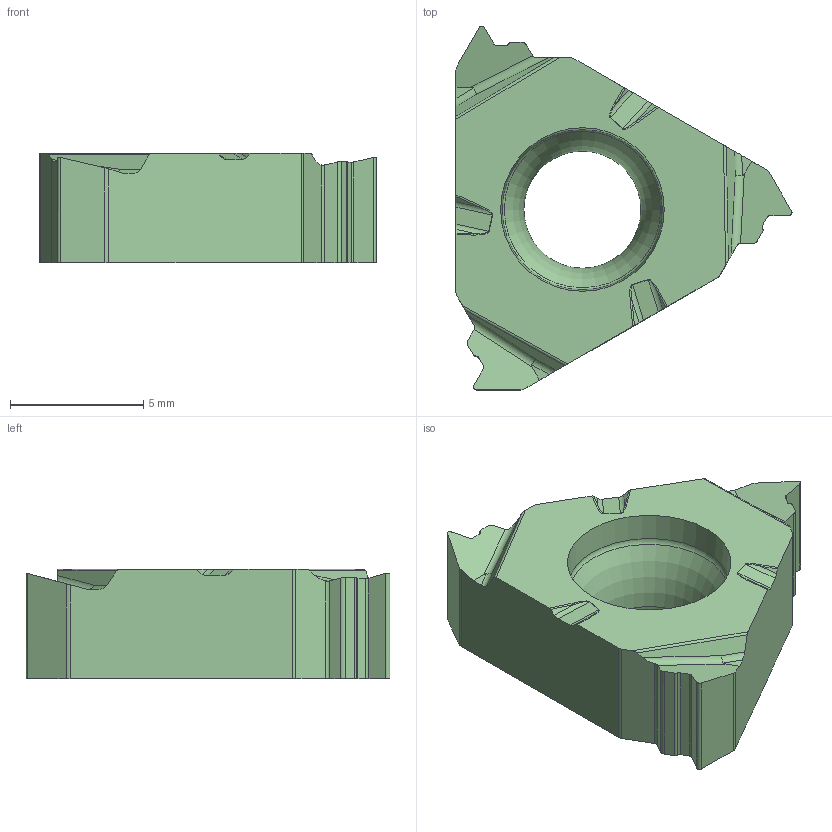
import cadquery as cq
import math

corner_count = 3
corner_angle = 360 / corner_count

thickness = 4.11
inscribed_radius = 4.752

flank_angle = 60
tip_radius = 0.11
tip_center_x = -3.78
tip_center_y = 6.787
root_y = 6.16
crest_y = 6.283
shoulder_y = 5.706
step_x = -2.8
crest_end_x = -2.16
flank_root_round = 0.12
step_root_round = 0.14
step_top_round = 0.09
crest_round = 0.18
shoulder_round = 0.15
side_round = 0.3
body_corner_round = 0.26

rake_angle = 15
tip_drop = 0.14
rake_floor_depth = 0.755
wall_direction = 31
wall_angle = 60
wall_start_y = 3.46
rake_fillet = 0.31
wall_edge_round = 0.12

notch_end_x = -3.45
notch_end_y = -0.52
notch_direction = 12.5
notch_slope = 10
notch_width = 0.84
notch_wall_angle = 40
notch_fillet = 0.3
notch_edge_round = 0.1

notch_length = 2.5
notch_height = 0.6
clearance = 1.0

select_margin = 0.01

hole_radius = 4.4 / 2
seat_radius = 6.15 / 2
seat_foot_radius = 3.02
seat_depth = 1.03
flare_radius = 2.94
flare_depth = 1.24
flare_end_depth = 3.58


def tan(angle):
    return math.tan(math.radians(angle))


def sin(angle):
    return math.sin(math.radians(angle))


def cos(angle):
    return math.cos(math.radians(angle))


def turn(point, angle):
    """Turn a plan point about the insert axis."""
    x, y = point
    return (x * cos(angle) - y * sin(angle), x * sin(angle) + y * cos(angle))


def box_near(point):
    """Selector of the edges centred at a point."""
    low = [value - select_margin for value in point]
    high = [value + select_margin for value in point]
    return cq.selectors.BoxSelector(low, high)


def corner_outline():
    """Sharp plan corners of one tooth, clockwise, each with its rounding radius."""
    apex_y = tip_center_y + tip_radius / cos(flank_angle)
    side_angle = 90 - corner_angle / 2
    side_x = -inscribed_radius
    side_y = apex_y - (tip_center_x - side_x) * tan(flank_angle)
    root_x = tip_center_x + (apex_y - root_y) / tan(flank_angle)
    step_top_x = step_x + (crest_y - root_y) / tan(flank_angle)
    shoulder_x = crest_end_x + (crest_y - shoulder_y) / tan(flank_angle)
    body_corner_x = (inscribed_radius - shoulder_y * cos(side_angle)) / sin(side_angle)
    return [
        ((side_x, side_y), side_round),
        ((tip_center_x, apex_y), tip_radius),
        ((root_x, root_y), flank_root_round),
        ((step_x, root_y), step_root_round),
        ((step_top_x, crest_y), step_top_round),
        ((crest_end_x, crest_y), crest_round),
        ((shoulder_x, shoulder_y), shoulder_round),
        ((body_corner_x, shoulder_y), body_corner_round),
    ]


def around_corners(solid):
    """Copies of a solid, one for each corner."""
    return [solid.rotate((0, 0, 0), (0, 0, 1), i * corner_angle) for i in range(corner_count)]


def make_body():
    corners = []
    for i in range(corner_count):
        for point, radius in corner_outline():
            corners.append((turn(point, -i * corner_angle), radius))
    points = [point for point, radius in corners]
    body = cq.Workplane("XY").workplane(offset=-thickness).polyline(points).close().extrude(thickness)
    for (x, y), radius in corners:
        body = body.edges("|Z").edges(box_near((x, y, -thickness / 2))).fillet(radius)
    return body


def ends_at(edge, point):
    """True if the edge starts or ends at the point."""
    gaps = [(point - edge.startPoint()).Length, (point - edge.endPoint()).Length]
    return min(gaps) < select_margin


def runs_along_x(edge):
    return abs(edge.tangentAt(0).y) < select_margin


def make_rake_cutter():
    """Space above the rake face, outside the chip breaker wall."""
    tip_y = tip_center_y + tip_radius
    floor_y = tip_y - (rake_floor_depth - tip_drop) / tan(rake_angle)
    outer_y = tip_y + clearance
    outer_z = -tip_drop + clearance * tan(rake_angle)
    span = 4 * inscribed_radius
    above_rake = (
        cq.Workplane("YZ", origin=(-span / 2, 0, 0))
        .moveTo(0, -rake_floor_depth)
        .lineTo(floor_y, -rake_floor_depth)
        .lineTo(outer_y, outer_z)
        .lineTo(outer_y, clearance)
        .lineTo(0, clearance)
        .close()
        .extrude(span)
    )
    wall_plane = cq.Plane(
        origin=(-inscribed_radius, wall_start_y, 0),
        xDir=(-sin(wall_direction), cos(wall_direction), 0),
        normal=(cos(wall_direction), sin(wall_direction), 0),
    )
    bottom = -2 * clearance
    edge_reach = wall_edge_round * tan(wall_angle / 2)
    outside_wall = (
        cq.Workplane(wall_plane)
        .moveTo(-bottom / tan(wall_angle), bottom)
        .lineTo(edge_reach * cos(wall_angle), -edge_reach * sin(wall_angle))
        .tangentArcPoint((-edge_reach, 0), relative=False)
        .lineTo(-edge_reach, clearance)
        .lineTo(span, clearance)
        .lineTo(span, bottom)
        .close()
        .extrude(span, both=True)
    )
    foot = cq.Vector(-sin(wall_direction), cos(wall_direction), 0) * (rake_floor_depth / tan(wall_angle))
    fillet_start = cq.Vector(-inscribed_radius, wall_start_y, -rake_floor_depth) + foot
    floor_run = (floor_y - fillet_start.y) / tan(wall_direction)
    corner = cq.Vector(fillet_start.x + floor_run, floor_y, -rake_floor_depth)
    cutter = above_rake.intersect(outside_wall)
    foot_edges = [edge for edge in cutter.edges().vals() if ends_at(edge, corner) and not runs_along_x(edge)]
    return cutter.newObject(foot_edges).fillet(rake_fillet)


def make_notch_cutter():
    half_bottom = notch_width / 2
    half_top = half_bottom + notch_height / tan(notch_wall_angle)
    cutter = (
        cq.Workplane("YZ")
        .polyline([(-half_bottom, 0), (half_bottom, 0), (half_top, notch_height), (-half_top, notch_height)])
        .close()
        .extrude(-notch_length)
        .edges("|X and <Z")
        .fillet(notch_fillet)
    )
    return (
        cutter.rotate((0, 0, 0), (0, 1, 0), -notch_slope)
        .rotate((0, 0, 0), (0, 0, 1), -notch_direction)
        .translate((notch_end_x, notch_end_y, 0))
    )


def make_screw_hole():
    flare_width = flare_radius - hole_radius
    flare_height = flare_end_depth - flare_depth
    curve = (flare_width ** 2 + flare_height ** 2) / (2 * flare_width)
    half = math.asin(flare_height / curve) / 2
    mid = (hole_radius + curve * (1 - math.cos(half)), -flare_end_depth + curve * math.sin(half))
    return (
        cq.Workplane("XZ")
        .lineTo(seat_radius, 0)
        .lineTo(seat_foot_radius, -seat_depth)
        .tangentArcPoint((flare_radius, -flare_depth), relative=False)
        .threePointArc(mid, (hole_radius, -flare_end_depth))
        .lineTo(hole_radius, -thickness - clearance)
        .lineTo(0, -thickness - clearance)
        .close()
        .revolve(360, (0, 0), (0, 1))
    )


def is_notch_side(edge, angle):
    """True for a straight long side of the notch mouth at one corner angle."""
    center = edge.Center()
    x, y = turn((center.x, center.y), -angle)
    reach = inscribed_radius + notch_end_x
    beside = -inscribed_radius + select_margin < x < notch_end_x - select_margin
    return beside and abs(y - notch_end_y) < reach and edge.geomType() == "LINE"


def round_notch_edges(body, angle):
    sides = [edge for edge in body.faces(">Z").edges().vals() if is_notch_side(edge, angle)]
    return body.newObject(sides).fillet(notch_edge_round)


def make_insert():
    body = make_body()
    for cutter in around_corners(make_rake_cutter()) + around_corners(make_notch_cutter()):
        body = body.cut(cutter)
    for i in range(corner_count):
        body = round_notch_edges(body, i * corner_angle)
    return body.cut(make_screw_hole())


result = make_insert()